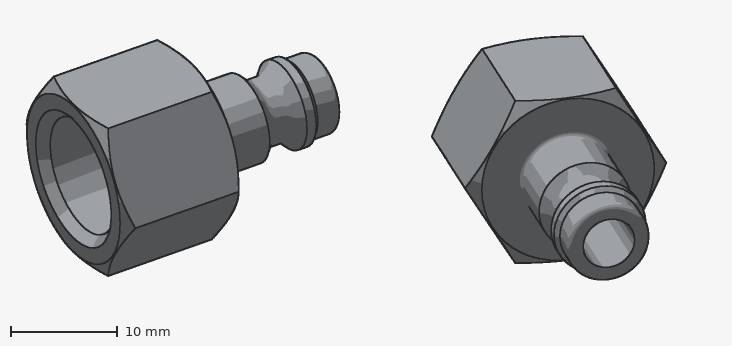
import cadquery as cq
import math

total_length = 27.0
hex_sides = 6
hex_across_flats = 17.0
hex_length = 13.0
hex_face_diameter = 16.8
hex_chamfer_angle = 30.0

plug_diameter = 8.95
plug_root_fillet = 0.5
tip_diameter = 8.05
tip_length = 2.65
tip_fillet = 0.6
collar_land_length = 1.0

flank_angle = 45.0
groove_diameter = 6.7
groove_width = 4.1
groove_fillet = 1.0

socket_diameter = 11.65
socket_mouth_diameter = 13.6
socket_chamfer_depth = 1.0
socket_depth = 10.0
floor_cone_angle = 135.0
passage_diameter = 5.0

front_y = -hex_length / 2
shoulder_y = front_y + hex_length
tip_y = front_y + total_length


def revolve_about_y(profile):
    """Close a radius/Y profile and turn it a full revolution about the Y axis."""
    return profile.close().revolve(360, (0, 0, 0), (0, 1, 0))


def make_hex_body():
    """Hexagonal prism with its corners turned down conically at both ends."""
    corner_radius = hex_across_flats / 2 / math.cos(math.pi / hex_sides)
    face_radius = hex_face_diameter / 2
    corner_drop = (corner_radius - face_radius) * math.tan(math.radians(hex_chamfer_angle))
    prism = (
        cq.Workplane("XZ", origin=(0, shoulder_y, 0))
        .polygon(hex_sides, 2 * corner_radius)
        .extrude(hex_length)
    )
    turned_envelope = revolve_about_y(
        cq.Workplane("XY")
        .moveTo(0, front_y)
        .lineTo(face_radius, front_y)
        .lineTo(corner_radius, front_y + corner_drop)
        .lineTo(corner_radius, shoulder_y - corner_drop)
        .lineTo(face_radius, shoulder_y)
        .lineTo(0, shoulder_y)
    )
    return prism.intersect(turned_envelope)


def make_plug():
    """Turned plug with a rounded tip, a collar, a locking groove and a filleted root."""
    plug_radius = plug_diameter / 2
    tip_radius = tip_diameter / 2
    groove_radius = groove_diameter / 2

    flank_slope = math.tan(math.radians(flank_angle))
    collar_start_y = tip_y - tip_length
    collar_top_y = collar_start_y - (plug_radius - tip_radius) / flank_slope
    groove_top_y = collar_top_y - collar_land_length
    groove_bottom_y = groove_top_y - groove_width
    groove_center_y = (groove_top_y + groove_bottom_y) / 2

    half_floor = groove_width / 2 - (plug_radius - groove_radius) / flank_slope
    arc_center_radius = groove_radius + groove_fillet
    arc_start = half_floor - groove_fillet * math.tan(math.radians(flank_angle / 2))

    def groove_arc_point(angle, side):
        """Point on a groove fillet, swept by angle from the floor towards one flank."""
        radians = math.radians(angle)
        radius = arc_center_radius - groove_fillet * math.cos(radians)
        offset = arc_start + groove_fillet * math.sin(radians)
        return (radius, groove_center_y + side * offset)

    root_y = shoulder_y + plug_root_fillet
    return revolve_about_y(
        cq.Workplane("XY")
        .moveTo(0, shoulder_y)
        .lineTo(plug_radius + plug_root_fillet, shoulder_y)
        .radiusArc((plug_radius, root_y), plug_root_fillet)
        .lineTo(plug_radius, groove_bottom_y)
        .lineTo(*groove_arc_point(flank_angle, -1))
        .threePointArc(groove_arc_point(flank_angle / 2, -1), groove_arc_point(0, -1))
        .lineTo(*groove_arc_point(0, 1))
        .threePointArc(groove_arc_point(flank_angle / 2, 1), groove_arc_point(flank_angle, 1))
        .lineTo(plug_radius, groove_top_y)
        .lineTo(plug_radius, collar_top_y)
        .lineTo(tip_radius, collar_start_y)
        .lineTo(tip_radius, tip_y - tip_fillet)
        .radiusArc((tip_radius - tip_fillet, tip_y), -tip_fillet)
        .lineTo(0, tip_y)
    )


def make_bore():
    """Chamfered socket with a conical floor that leads into the through passage."""
    socket_radius = socket_diameter / 2
    passage_radius = passage_diameter / 2
    socket_end_y = front_y + socket_depth
    cone_length = (socket_radius - passage_radius) / math.tan(math.radians(floor_cone_angle / 2))
    return revolve_about_y(
        cq.Workplane("XY")
        .moveTo(0, front_y)
        .lineTo(socket_mouth_diameter / 2, front_y)
        .lineTo(socket_radius, front_y + socket_chamfer_depth)
        .lineTo(socket_radius, socket_end_y)
        .lineTo(passage_radius, socket_end_y + cone_length)
        .lineTo(passage_radius, tip_y)
        .lineTo(0, tip_y)
    )


result = make_hex_body().union(make_plug()).cut(make_bore())